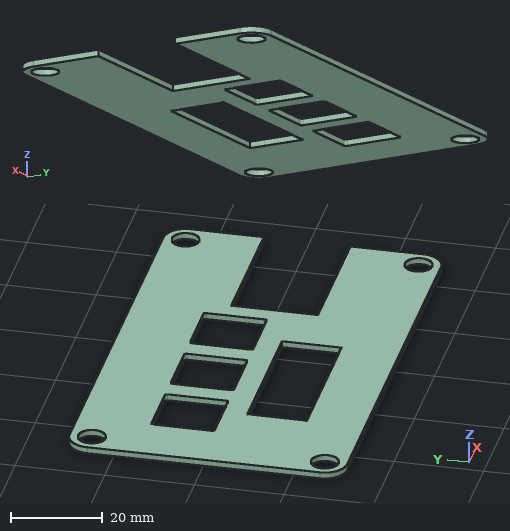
import cadquery as cq

length = 102.3
width = 62.0
thickness = 1.5
corner_radius = 5.0

hole_diameter = 6.0
hole_spacing_x = length - 2 * corner_radius
hole_spacing_y = width - 2 * corner_radius

key_count = 3
key_size = 14.0
key_pitch = 19.0
key_corner_radius = 0.5
key_row_x = -11.7
key_row_y = 7.7

window_length = 34.1
window_width = 13.2
window_x = -11.6
window_y = -11.4

notch_depth = 32.1
notch_width = 19.2


def box_at(size_x, size_y, x, y):
    """Full-thickness block centred at (x, y)."""
    return cq.Workplane("XY").center(x, y).rect(size_x, size_y).extrude(thickness)


plate = box_at(length, width, 0, 0).edges("|Z").fillet(corner_radius)

mounting_holes = (
    cq.Workplane("XY")
    .rect(hole_spacing_x, hole_spacing_y, forConstruction=True)
    .vertices()
    .circle(hole_diameter / 2)
    .extrude(thickness)
)
result = plate.cut(mounting_holes)

for index in range(key_count):
    key_x = key_row_x + (index - (key_count - 1) / 2) * key_pitch
    key_opening = box_at(key_size, key_size, key_x, key_row_y)
    result = result.cut(key_opening.edges("|Z").fillet(key_corner_radius))

result = result.cut(box_at(window_length, window_width, window_x, window_y))
result = result.cut(box_at(notch_depth, notch_width, (length - notch_depth) / 2, 0))